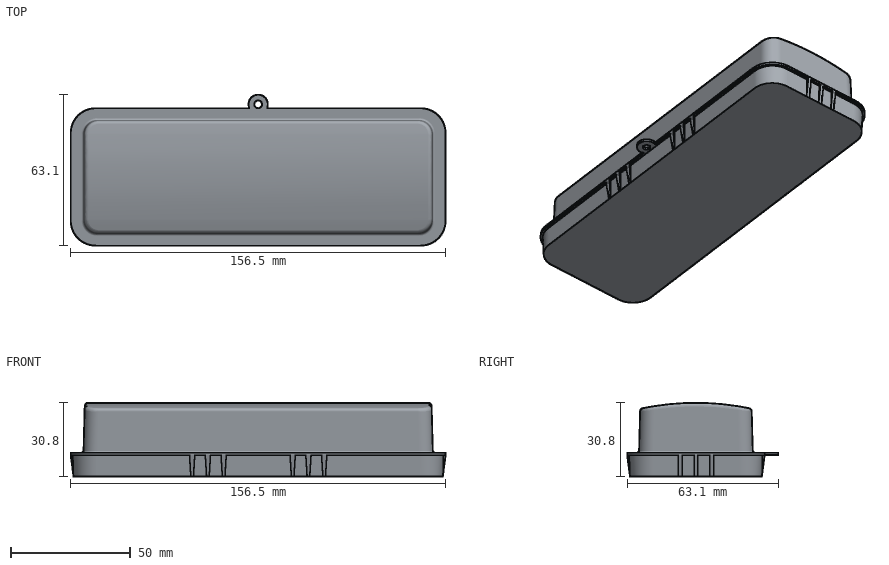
import cadquery as cq
import math

LENGTH = 156.5
WIDTH = 57.5
FLANGE_TOP = 10.0
FLANGE_THICKNESS = 1.1
FLANGE_CORNER_RADIUS = 10.5
FLANGE_BOTTOM = FLANGE_TOP - FLANGE_THICKNESS

SKIRT_INSET = 1.0
SKIRT_DRAFT = 1.5
SKIRT_CORNER_RADIUS = FLANGE_CORNER_RADIUS - SKIRT_INSET
SKIRT_BOTTOM_INSET = SKIRT_INSET + FLANGE_BOTTOM * math.tan(math.radians(SKIRT_DRAFT))

HEIGHT = 30.8
HOUSING_LENGTH = 145.9
HOUSING_WIDTH = 47.6
HOUSING_CORNER_RADIUS = 5.8
HOUSING_DRAFT = 1.5
CROWN_RADIUS = 109.5
TOP_FILLET = 1.5
FOOT_FILLET = 0.8

RIB_ROOT = 1.5
RIB_PITCH = 6.5
RIBS_PER_GROUP = 3
LONG_SIDE_GROUP_OFFSET = 21.0
LONG_SIDE_RIB_BOTTOM_WIDTH = 1.1
LONG_SIDE_RIB_TOP_WIDTH = 2.2
SHORT_SIDE_RIB_WIDTH = 1.5

TAB_RADIUS = 4.0
TAB_REACH = 5.6
TAB_HOLE_DIAMETER = 3.1
TAB_CENTER_Y = WIDTH / 2 + TAB_REACH - TAB_RADIUS


def rounded_block(length, width, radius, start, rise, draft=0):
    """Rounded rectangle swept by rise from height start, narrowing by the draft angle."""
    block = cq.Workplane("XY").workplane(offset=start).rect(length, width).extrude(rise, taper=draft)
    return block.edges("not #Z").fillet(radius)


def make_skirt():
    """Block below the flange, narrowing downwards."""
    return rounded_block(
        LENGTH - 2 * SKIRT_INSET,
        WIDTH - 2 * SKIRT_INSET,
        SKIRT_CORNER_RADIUS,
        FLANGE_BOTTOM,
        -FLANGE_BOTTOM,
        SKIRT_DRAFT,
    )


def make_housing():
    """Drafted box with an arched top, rounded along the top rim."""
    block = rounded_block(
        HOUSING_LENGTH,
        HOUSING_WIDTH,
        HOUSING_CORNER_RADIUS,
        FLANGE_TOP,
        HEIGHT - FLANGE_TOP,
        HOUSING_DRAFT,
    )
    crown = (
        cq.Workplane("YZ")
        .center(0, HEIGHT - CROWN_RADIUS)
        .circle(CROWN_RADIUS)
        .extrude(LENGTH / 2, both=True)
    )
    return block.intersect(crown).faces(">Z").edges().fillet(TOP_FILLET)


def make_rib(half_span, bottom_width, top_width):
    """Rib at the +X end, rooted in the skirt and reaching the flange edge at half_span."""
    root = half_span - SKIRT_BOTTOM_INSET - RIB_ROOT
    top_depth = RIB_ROOT + SKIRT_BOTTOM_INSET
    return (
        cq.Workplane("XY")
        .center(root + RIB_ROOT / 2, 0)
        .rect(RIB_ROOT, bottom_width)
        .workplane(offset=FLANGE_BOTTOM)
        .center(SKIRT_BOTTOM_INSET / 2, 0)
        .rect(top_depth, top_width)
        .loft(ruled=True)
    )


def add_ribs(body):
    """Two groups of ribs on each long side and one group on each short side."""
    long_rib = make_rib(WIDTH / 2, LONG_SIDE_RIB_BOTTOM_WIDTH, LONG_SIDE_RIB_TOP_WIDTH)
    short_rib = make_rib(LENGTH / 2, SHORT_SIDE_RIB_WIDTH, SHORT_SIDE_RIB_WIDTH)
    for index in range(RIBS_PER_GROUP):
        shift = (index - (RIBS_PER_GROUP - 1) / 2) * RIB_PITCH
        for turn in (0, 180):
            short_side_rib = short_rib.translate((0, shift, 0))
            body = body.union(short_side_rib.rotate((0, 0, 0), (0, 0, 1), turn))
            for group in (-LONG_SIDE_GROUP_OFFSET, LONG_SIDE_GROUP_OFFSET):
                long_side_rib = long_rib.translate((0, group + shift, 0))
                body = body.union(long_side_rib.rotate((0, 0, 0), (0, 0, 1), turn + 90))
    return body


def add_foot_fillet(body):
    """Round the inside corner where the housing meets the flange."""
    half_length = HOUSING_LENGTH / 2 + FOOT_FILLET
    half_width = HOUSING_WIDTH / 2 + FOOT_FILLET
    box = cq.selectors.BoxSelector(
        (-half_length, -half_width, FLANGE_TOP - FOOT_FILLET),
        (half_length, half_width, FLANGE_TOP + FOOT_FILLET),
        boundingbox=True,
    )
    return body.edges(box).fillet(FOOT_FILLET)


def add_tab(body):
    """Round tab with a hanging hole, as thick as the flange."""
    tab_plane = cq.Workplane("XY").workplane(offset=FLANGE_BOTTOM).center(0, TAB_CENTER_Y)
    tab = tab_plane.circle(TAB_RADIUS).extrude(FLANGE_THICKNESS)
    hole = tab_plane.circle(TAB_HOLE_DIAMETER / 2).extrude(FLANGE_THICKNESS)
    return body.union(tab).cut(hole)


flange = rounded_block(LENGTH, WIDTH, FLANGE_CORNER_RADIUS, FLANGE_BOTTOM, FLANGE_THICKNESS)
cover = add_foot_fillet(flange.union(make_housing()))
result = add_tab(add_ribs(cover.union(make_skirt())))